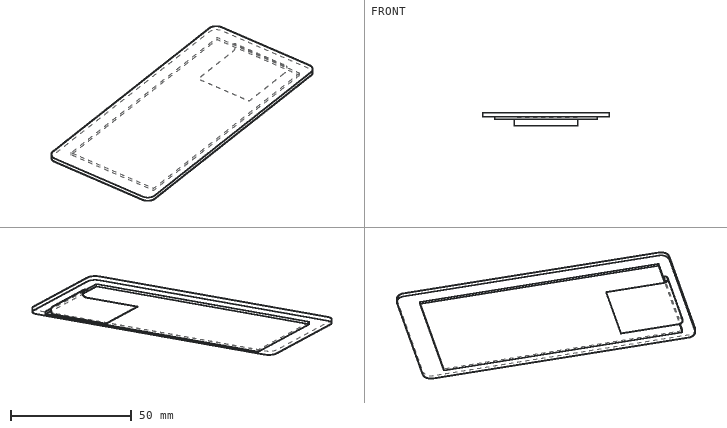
import cadquery as cq

plate_width = 52.5
plate_length = 116.1
plate_thickness = 1.7
corner_radius = 3.6

panel_width = 42.5
panel_thickness = 1.0
panel_back_y = 53.1
panel_front_y = -48.7

total_height = 5.5
cable_width = 26.4
cable_thickness = 0.1
cable_tip_y = 28.8
cable_back_y = 55.2

cable_drop = total_height - plate_thickness
bend_radius = cable_drop / 2
inner_bend_radius = bend_radius - cable_thickness
bend_center_y = cable_back_y - bend_radius


def make_plate():
    return (
        cq.Workplane("XY")
        .rect(plate_width, plate_length)
        .extrude(plate_thickness)
        .edges("|Z")
        .fillet(corner_radius)
    )


def make_panel():
    panel_length = panel_back_y - panel_front_y
    return (
        cq.Workplane("XY")
        .center(0, (panel_back_y + panel_front_y) / 2)
        .rect(panel_width, panel_length)
        .extrude(-panel_thickness)
    )


def make_cable():
    return (
        cq.Workplane("YZ")
        .moveTo(panel_back_y, 0)
        .lineTo(bend_center_y, 0)
        .threePointArc((cable_back_y, -bend_radius), (bend_center_y, -cable_drop))
        .lineTo(cable_tip_y, -cable_drop)
        .lineTo(cable_tip_y, -cable_drop + cable_thickness)
        .lineTo(bend_center_y, -cable_drop + cable_thickness)
        .threePointArc(
            (bend_center_y + inner_bend_radius, -bend_radius),
            (bend_center_y, -cable_thickness),
        )
        .lineTo(panel_back_y, -cable_thickness)
        .close()
        .extrude(cable_width / 2, both=True)
    )


result = make_plate().union(make_panel()).union(make_cable())